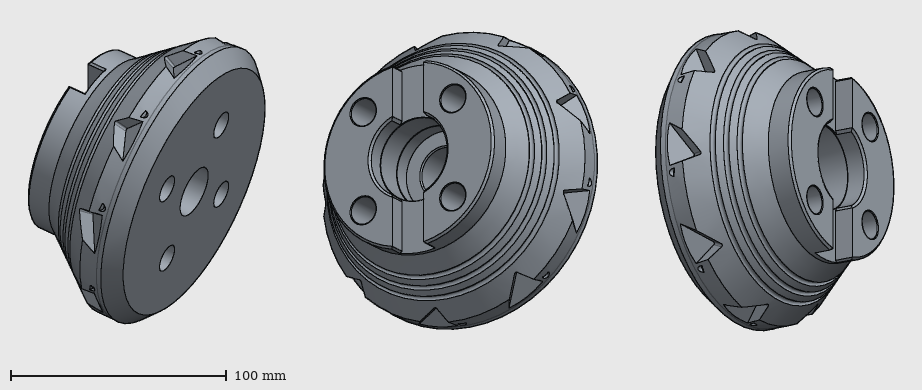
import cadquery as cq
import math

rim_radius = 69.6
length = 63.0
hub_radius = 45.1
hub_length = 12.0
cone_end = 44.0
land_radius = 69.3
land_end = 53.0
rim_chamfer = 7.5
mouth_chamfer = 1.1
cone_slope = (land_radius - hub_radius) / (cone_end - hub_length)
cone_angle = math.atan(cone_slope)

groove_count = 3
groove_radius = 1.3
first_groove_x = 22.5
groove_pitch = 5.0

bore_radius = 20.0
bore_depth = 34.8
relief_radius = 20.3
relief_start = 10.2
relief_end = 25.9
through_bore_radius = 12.2
through_bore_chamfer = 0.7

slot_width = 16.4
slot_depth = 9.2

bolt_spacing = 47.3
bolt_hole_radius = 6.5
bolt_hole_chamfer = 0.4

pocket_count = 9
first_pocket_angle = 20.2
pocket_root = (42.2, 60.4, 5.0)
pocket_tip = (36.2, 63.6, 5.7)
pocket_upper_corner = (51.0, 68.5, 10.3)
pocket_lower_corner = (51.6, 68.9, -11.0)
pocket_overshoot = 2.0
pocket_nose_radius = 1.0

notch_start = (48.9, 68.0, 13.9)
notch_radius = 2.0
notch_length = 7.0


def cone_radius(x):
    return hub_radius + cone_slope * (x - hub_length)


def body_point(place):
    x, radial, sideways = place
    return cq.Vector(x, -radial, sideways)


def turned_body():
    """Body of revolution with half-round grooves cut square to the cone."""
    along_x = groove_radius * math.cos(cone_angle)
    along_r = groove_radius * math.sin(cone_angle)
    profile = cq.Workplane("XY").lineTo(0, hub_radius).lineTo(hub_length, hub_radius)
    for i in range(groove_count):
        x = first_groove_x + i * groove_pitch
        r = cone_radius(x)
        profile = profile.lineTo(x - along_x, r - along_r)
        profile = profile.threePointArc((x + along_r, r - along_x), (x + along_x, r + along_r))
    profile = (
        profile.lineTo(cone_end, land_radius)
        .lineTo(land_end, land_radius)
        .lineTo(length - rim_chamfer, rim_radius)
        .lineTo(length, rim_radius - rim_chamfer)
        .lineTo(length, 0)
        .close()
    )
    return profile.revolve(360, (0, 0, 0), (1, 0, 0))


def centre_bore():
    profile = [
        (0, 0),
        (0, bore_radius),
        (relief_start, bore_radius),
        (relief_start, relief_radius),
        (relief_end, relief_radius),
        (relief_end, bore_radius),
        (bore_depth, bore_radius),
        (bore_depth, through_bore_radius + through_bore_chamfer),
        (bore_depth + through_bore_chamfer, through_bore_radius),
        (length, through_bore_radius),
        (length, 0),
    ]
    return cq.Workplane("XY").polyline(profile).close().revolve(360, (0, 0, 0), (1, 0, 0))


def bolt_hole(y, z):
    """Through hole along X with a small chamfer at its mouth on the hub face."""
    centre = cq.Vector(0, y, z)
    axis = cq.Vector(1, 0, 0)
    mouth_radius = bolt_hole_radius + bolt_hole_chamfer
    shank = cq.Solid.makeCylinder(bolt_hole_radius, length, centre, axis)
    mouth = cq.Solid.makeCone(mouth_radius, bolt_hole_radius, bolt_hole_chamfer, centre, axis)
    return cq.Workplane(shank.fuse(mouth))


def wedge_pocket():
    """Four-sided solid growing from the pocket root along its three edges."""
    root = body_point(pocket_root)
    spread = [
        root + (body_point(corner) - root) * pocket_overshoot
        for corner in (pocket_tip, pocket_upper_corner, pocket_lower_corner)
    ]
    tip, upper, lower = spread
    triangles = [(root, tip, upper), (root, upper, lower), (root, lower, tip), (tip, lower, upper)]
    faces = [cq.Face.makeFromWires(cq.Wire.makePolygon(t, close=True)) for t in triangles]
    wedge = cq.Workplane(cq.Solid.makeSolid(cq.Shell.makeShell(faces)))
    nose_middle = (root + tip) * 0.5
    return wedge.edges(cq.selectors.NearestToPointSelector(nose_middle.toTuple())).fillet(pocket_nose_radius)


def relief_notch():
    """Round notch sloping outward at the same slope as the pocket floor."""
    floor_rise = body_point(pocket_upper_corner) - body_point(pocket_root)
    slope = cq.Vector(floor_rise.x, floor_rise.y, 0)
    return cq.Workplane(cq.Solid.makeCylinder(notch_radius, notch_length, body_point(notch_start), slope))


result = turned_body().cut(centre_bore())

slot = cq.Workplane("XY").box(2 * slot_depth, slot_width, 2 * rim_radius)
result = result.cut(slot)

mouth_edges = result.faces("<X").edges("%CIRCLE")
slot_corners = result.edges("|X").edges(
    cq.selectors.BoxSelector((0, -slot_width, -rim_radius), (slot_depth, slot_width, rim_radius))
)
result = mouth_edges.add(slot_corners).chamfer(mouth_chamfer)

for y in (-bolt_spacing / 2, bolt_spacing / 2):
    for z in (-bolt_spacing / 2, bolt_spacing / 2):
        result = result.cut(bolt_hole(y, z))

for i in range(pocket_count):
    angle = first_pocket_angle + i * 360 / pocket_count
    for cutter in (wedge_pocket(), relief_notch()):
        result = result.cut(cutter.rotate((0, 0, 0), (1, 0, 0), angle))